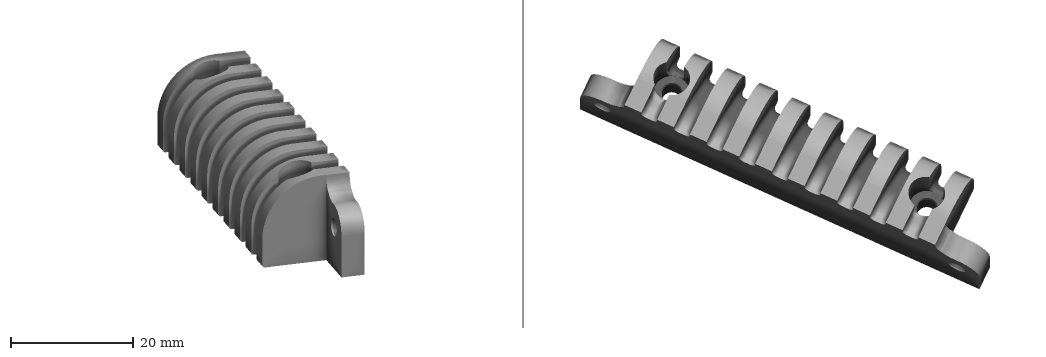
import cadquery as cq
import math

body_length = 56.0
body_size = 15.0
corner_radius = 10.0
toe_radius = 0.45

rib_count = 10
rib_width = 3.0
groove_count = rib_count - 1
groove_width = (body_length - rib_count * rib_width) / groove_count
groove_pitch = rib_width + groove_width
groove_fillet = 1.0
floor_radius = 10.0
floor_arc_back = 1.22
floor_arc_height = 3.12
cutter_reach = body_size + 3.0
first_groove = -groove_pitch * (groove_count - 1) / 2

ear_span = 72.0
ear_thickness = 4.0
ear_radius = 4.0
ear_hole_diameter = 3.1
ear_hole_height = 7.35
ear_flat = 0.6
ear_blend_radius = 3.0
ear_rise_height = 14.6

screw_spacing = 46.0
screw_depth = 7.5
screw_diameter = 3.25
screw_chamfer = 0.2
head_diameter = 6.0
head_floor = 5.0

channel_slope = 27.0
channel_reach = 1.0
channel_height = 2.0

diagonal = math.sqrt(0.5)
half_sine = math.sin(math.pi / 8)
half_cosine = math.cos(math.pi / 8)


def make_body():
    straight = body_size - corner_radius
    arc_middle = straight + corner_radius * diagonal
    return (
        cq.Workplane("YZ")
        .moveTo(0, 0)
        .lineTo(0, body_size)
        .lineTo(-straight, body_size)
        .threePointArc((-arc_middle, arc_middle), (-body_size, straight))
        .lineTo(-body_size, 0)
        .close()
        .extrude(body_length / 2, both=True)
        .edges("|X and <Y and <Z")
        .fillet(toe_radius)
    )


def make_ear():
    """Left ear, reaching as far as the end face of the body."""
    outer = -ear_span / 2
    inner = -body_length / 2
    top = ear_hole_height + ear_radius
    centre = outer + ear_radius
    rise_start = centre + ear_flat
    lower_end = (
        rise_start + ear_blend_radius * diagonal,
        top + ear_blend_radius * (1 - diagonal),
    )
    upper_start = (
        inner - ear_blend_radius * (1 - diagonal),
        ear_rise_height - ear_blend_radius * diagonal,
    )
    return (
        cq.Workplane("XZ")
        .moveTo(outer, 0)
        .lineTo(outer, ear_hole_height)
        .threePointArc(
            (centre - ear_radius * diagonal, ear_hole_height + ear_radius * diagonal),
            (centre, top),
        )
        .lineTo(rise_start, top)
        .threePointArc(
            (rise_start + ear_blend_radius * half_sine, top + ear_blend_radius * (1 - half_cosine)),
            lower_end,
        )
        .lineTo(*upper_start)
        .threePointArc(
            (inner - ear_blend_radius * (1 - half_cosine), ear_rise_height - ear_blend_radius * half_sine),
            (inner, ear_rise_height),
        )
        .lineTo(inner, 0)
        .close()
        .moveTo(centre, ear_hole_height)
        .circle(ear_hole_diameter / 2)
        .extrude(ear_thickness)
    )


def make_groove_cutter():
    """Space outside the groove floor: arc, 45 degree straight, arc."""

    def upper(across, up):
        """Point on the upper arc, given its direction from the arc centre."""
        return (
            floor_arc_back - floor_radius * across,
            floor_arc_height + floor_radius * up,
        )

    def lower(across, up):
        """Point on the lower arc, the upper one mirrored about the 45 degree line."""
        y, z = upper(up, across)
        return (-z, -y)

    floor_top = floor_arc_height + floor_radius
    floor_zone = cq.selectors.BoxSelector(
        (-groove_width, -floor_top, -floor_arc_back),
        (groove_width, floor_arc_back, floor_top),
    )
    return (
        cq.Workplane("YZ")
        .moveTo(*upper(0, 1))
        .threePointArc(upper(half_sine, half_cosine), upper(diagonal, diagonal))
        .lineTo(*lower(diagonal, diagonal))
        .threePointArc(lower(half_cosine, half_sine), lower(1, 0))
        .lineTo(-cutter_reach, -floor_arc_back)
        .lineTo(-cutter_reach, cutter_reach)
        .lineTo(floor_arc_back, cutter_reach)
        .close()
        .extrude(groove_width / 2, both=True)
        .faces("<X or >X")
        .edges(floor_zone)
        .fillet(groove_fillet)
    )


def cut_grooves(part):
    cutter = make_groove_cutter()
    for index in range(groove_count):
        part = part.cut(cutter.translate((first_groove + index * groove_pitch, 0, 0)))
    return part


def cut_screw_holes(part):
    tool = (
        cq.Workplane("XY")
        .circle(screw_diameter / 2)
        .extrude(body_size)
        .union(
            cq.Workplane("XY").workplane(offset=head_floor)
            .circle(head_diameter / 2)
            .extrude(body_size)
        )
        .union(
            cq.Workplane("XY").workplane(offset=head_floor - screw_chamfer)
            .circle(screw_diameter / 2)
            .workplane(offset=screw_chamfer)
            .circle(screw_diameter / 2 + screw_chamfer)
            .loft()
        )
    )
    for side in (-1, 1):
        part = part.cut(tool.translate((side * screw_spacing / 2, -screw_depth, 0)))
    return part


def cut_sloping_channels(part):
    """Sloping channels from the counterbore floors out to the end grooves."""
    channel = (
        cq.Workplane("XY")
        .box(groove_width, 2 * channel_reach, channel_height, centered=(True, True, False))
        .edges("|Y and <Z")
        .fillet(groove_fillet)
        .rotate((0, 0, 0), (1, 0, 0), channel_slope)
        .translate((0, -screw_depth - head_diameter / 2, head_floor))
    )
    for side in (-1, 1):
        part = part.cut(channel.translate((side * first_groove, 0, 0)))
    return part


ear = make_ear()
block = cut_sloping_channels(cut_screw_holes(cut_grooves(make_body())))
result = block.union(ear).union(ear.mirror("YZ"))